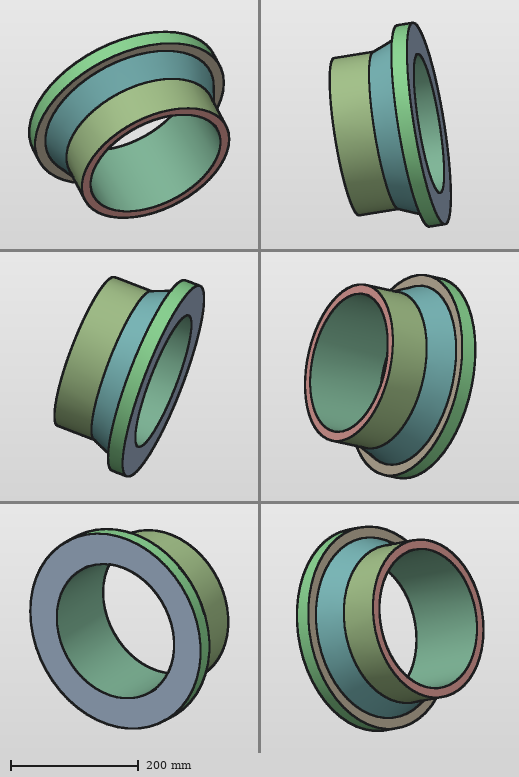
import cadquery as cq

total_length = 132.0
flange_thickness = 25.0
taper_length = 43.5
flange_diameter = 320.0
taper_base_diameter = 285.5
neck_diameter = 250.0
bore_diameter = 220.0

flange_radius = flange_diameter / 2
taper_base_radius = taper_base_diameter / 2
neck_radius = neck_diameter / 2
bore_radius = bore_diameter / 2
taper_end = flange_thickness + taper_length

half_section = (
    cq.Workplane("XY")
    .moveTo(0, bore_radius)
    .lineTo(0, flange_radius)
    .lineTo(flange_thickness, flange_radius)
    .lineTo(flange_thickness, taper_base_radius)
    .lineTo(taper_end, neck_radius)
    .lineTo(total_length, neck_radius)
    .lineTo(total_length, bore_radius)
    .close()
)

result = half_section.revolve(360, (0, 0, 0), (1, 0, 0))